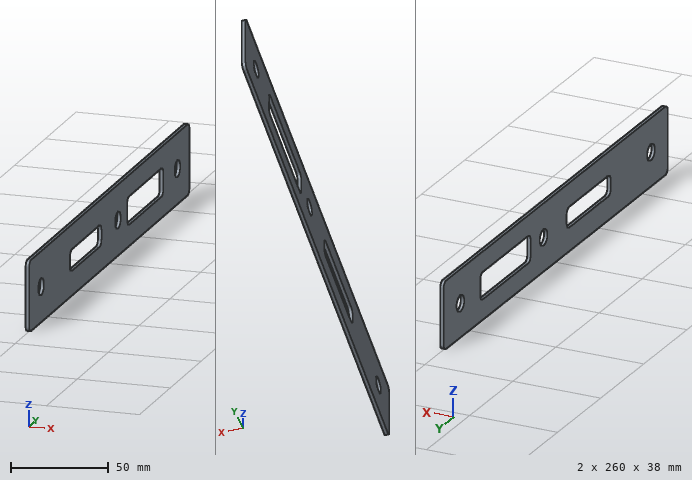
import cadquery as cq

thickness = 2.0
length = 260.0
height = 38.0
corner_radius = 3.0

hole_diameter = 8.8
end_hole_offset = 110.5
middle_hole_y = 14.0

large_window_y = 58.2
large_window_length = 58.0
large_window_height = 15.0
large_window_radius = 2.5
small_window_y = -38.2
small_window_length = 51.0
small_window_height = 11.5
small_window_radius = 3.0


def rounded_block(center_y, block_length, block_height, radius):
    """Block through the plate thickness with rounded corners."""
    return (
        cq.Workplane("XY")
        .box(thickness, block_length, block_height)
        .edges("|X")
        .fillet(radius)
        .translate((0, center_y, 0))
    )


def screw_holes():
    """Cylinders for the two end holes and the middle hole."""
    centers = [(y, 0) for y in (end_hole_offset, middle_hole_y, -end_hole_offset)]
    return (
        cq.Workplane("YZ")
        .pushPoints(centers)
        .circle(hole_diameter / 2)
        .extrude(thickness / 2, both=True)
    )


plate = rounded_block(0, length, height, corner_radius)
large_window = rounded_block(
    large_window_y, large_window_length, large_window_height, large_window_radius
)
small_window = rounded_block(
    small_window_y, small_window_length, small_window_height, small_window_radius
)

result = plate.cut(large_window).cut(small_window).cut(screw_holes())